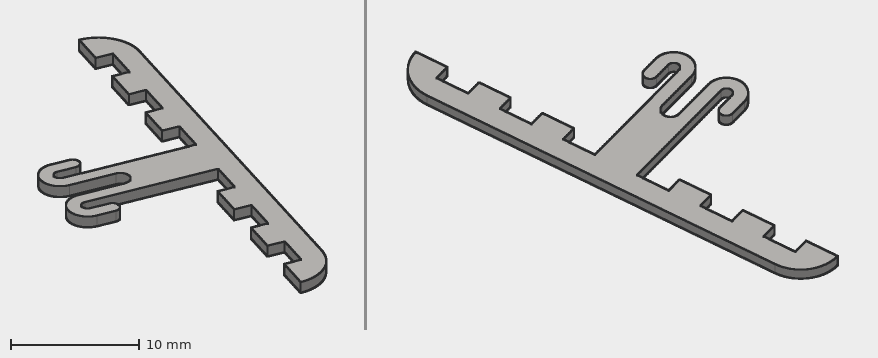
import cadquery as cq
import math

thickness = 1.0
bar_length = 40.0
total_depth = 15.25

bar_depth = 3.5
corner_radius = bar_depth
notch_width = 3.0
notch_depth = 1.5
notches_per_side = 3
notch_pitch = 2 * notch_width

stem_width = 4.0
slot_width = 1.6
slot_top_y = -8.7

hook_gap = 1.0
hook_height = 3.9
leg_width = (stem_width - slot_width) / 2
hook_inner_radius = hook_gap / 2
hook_outer_radius = hook_inner_radius + leg_width
hook_center_x = stem_width / 2 + hook_inner_radius
hook_center_y = -total_depth + hook_outer_radius
hook_tip_radius = leg_width / 2
hook_tip_center_y = -total_depth + hook_height - hook_tip_radius


def block(x_min, x_max, y_min, y_max):
    """Rectangular piece of plate between the given limits."""
    return (
        cq.Workplane("XY")
        .box(x_max - x_min, y_max - y_min, thickness, centered=False)
        .translate((x_min, y_min, 0))
    )


def disc(x, y, radius):
    """Round piece of plate."""
    return cq.Workplane("XY").center(x, y).circle(radius).extrude(thickness)


def toothed_bar():
    """Bar with rounded upper corners and square notches along its lower edge."""
    half_length = bar_length / 2
    arc_offset = corner_radius * (1 - math.cos(math.radians(45)))
    bar = (
        cq.Workplane("XY")
        .moveTo(-half_length, -bar_depth)
        .lineTo(half_length, -bar_depth)
        .threePointArc((half_length - arc_offset, -arc_offset), (half_length - corner_radius, 0))
        .lineTo(corner_radius - half_length, 0)
        .threePointArc((arc_offset - half_length, -arc_offset), (-half_length, -bar_depth))
        .close()
        .extrude(thickness)
    )
    for side in (-1, 1):
        for index in range(notches_per_side):
            center_x = side * (stem_width / 2 + notch_width / 2 + index * notch_pitch)
            bar = bar.cut(
                block(
                    center_x - notch_width / 2,
                    center_x + notch_width / 2,
                    -bar_depth,
                    notch_depth - bar_depth,
                )
            )
    return bar


def slotted_stem():
    """Stem down to the hook bends, with the slot open at its lower end."""
    slot_radius = slot_width / 2
    slot_center_y = slot_top_y - slot_radius
    stem = block(-stem_width / 2, stem_width / 2, hook_center_y, notch_depth - bar_depth)
    slot = block(-slot_radius, slot_radius, hook_center_y, slot_center_y)
    return stem.cut(slot).cut(disc(0, slot_center_y, slot_radius))


def hook():
    """Half-ring bend and round-tipped arm of the hook on the +X side."""
    outer_x = hook_center_x + hook_outer_radius
    bend = disc(hook_center_x, hook_center_y, hook_outer_radius)
    bend = bend.cut(disc(hook_center_x, hook_center_y, hook_inner_radius))
    bend = bend.intersect(
        block(hook_center_x - hook_outer_radius, outer_x, -total_depth, hook_center_y)
    )
    arm = block(outer_x - leg_width, outer_x, hook_center_y, hook_tip_center_y)
    tip = disc(outer_x - hook_tip_radius, hook_tip_center_y, hook_tip_radius)
    return bend.union(arm).union(tip)


right_hook = hook()
left_hook = right_hook.mirror("YZ")
result = toothed_bar().union(slotted_stem()).union(right_hook).union(left_hook).clean()